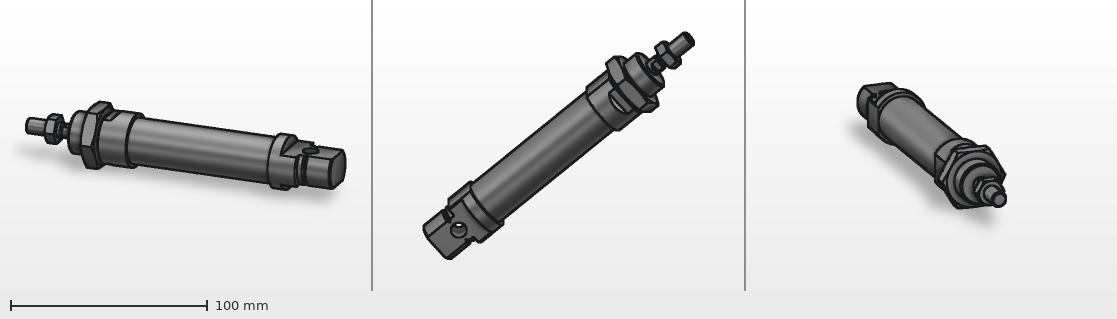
import cadquery as cq
import math

LENGTH = 170.0

ROD_DIA = 8.0
ROD_TIP_CHAMFER = 0.7
ROD_THREAD_END = 18.7
ROD_NECK_DIA = 5.5
ROD_SHANK_START = 20.0
ROD_FLAT_WIDTH = 6.0
ROD_FLAT_END = 23.3

LOCK_NUT_START = 11.5
LOCK_NUT_THICKNESS = 5.3
LOCK_NUT_FLATS = 13.1
LOCK_NUT_BEVEL = 0.7
MOUNTING_NUT_START = 34.8
MOUNTING_NUT_THICKNESS = 7.3
MOUNTING_NUT_FLATS = 30.0
MOUNTING_NUT_BEVEL = 0.8

BARREL_DIA = 24.0
BARREL_START = 59.0
BARREL_END = 137.0
CAP_DIA = 28.0
CAP_FLAT_OFFSET = BARREL_DIA / 2

COLLAR_START = 25.8
COLLAR_DIA = 22.0
COLLAR_CHAMFER = 0.8
FRONT_CAP_START = 43.9
WRENCH_FLAT_WIDTH = 23.8
WRENCH_FLAT_END = 48.0

TONGUE_START = 143.1
TONGUE_THICKNESS = 16.0
TONGUE_DIA = COLLAR_DIA
TONGUE_CHAMFER = 0.76
REAR_SHOULDER_END = 151.8
GROOVE_CENTER = 155.5
GROOVE_DIA = 20.2
GROOVE_FLOOR = 0.5
PIVOT_X = 155.0
PIVOT_DIA = 8.0


def cylinder_x(start, end, diameter):
    """Round bar along the X axis."""
    return cq.Workplane("YZ", origin=(start, 0, 0)).circle(diameter / 2).extrude(end - start)


def turned(profile):
    """Solid of revolution about X from (x, radius) points that start and end on the axis."""
    return cq.Workplane("XY").polyline(profile).close().revolve(360, (0, 0, 0), (1, 0, 0))


def paired_flats(body, start, end, width, body_dia):
    """Mill flats at Z = +-width/2, each running out to the body surface on a 45 degree ramp."""
    flat_z = width / 2
    top_z = body_dia / 2
    ramp_end = end + top_z - flat_z
    outline = [(start, flat_z), (end, flat_z), (ramp_end, top_z), (start, top_z)]
    for side in (1, -1):
        points = [(x, side * z) for x, z in outline]
        cutter = cq.Workplane("XZ").polyline(points).close().extrude(body_dia / 2, both=True)
        body = body.cut(cutter)
    return body


def hex_nut(start, thickness, flats, bore, front_bevel, back_bevel):
    """Hexagonal nut on X with flats at top and bottom; a bevel of 0 leaves that side square."""
    corner_dia = flats / math.cos(math.pi / 6)
    end = start + thickness
    nut = cq.Workplane("YZ", origin=(start, 0, 0)).polygon(6, corner_dia).extrude(thickness)
    corner_r = corner_dia / 2
    face_r = flats / 2
    front_envelope = turned([
        (start, 0), (start, face_r), (start + front_bevel, corner_r), (end, corner_r), (end, 0),
    ])
    nut = nut.intersect(front_envelope)
    if back_bevel > 0:
        back_envelope = turned([
            (start, 0), (start, corner_r), (end - back_bevel, corner_r), (end, face_r), (end, 0),
        ])
        nut = nut.intersect(back_envelope)
    return nut.cut(cylinder_x(start, end, bore))


def make_rod():
    """Rod whose thread tapers into a sharp-bottomed neck, followed by a shank with wrench flats."""
    r = ROD_DIA / 2
    neck_r = ROD_NECK_DIA / 2
    rod = turned([
        (0, 0), (0, r - ROD_TIP_CHAMFER), (ROD_TIP_CHAMFER, r),
        (ROD_THREAD_END, r), (ROD_SHANK_START, neck_r), (ROD_SHANK_START, r),
        (BARREL_START, r), (BARREL_START, 0),
    ])
    return paired_flats(rod, ROD_SHANK_START, ROD_FLAT_END, ROD_FLAT_WIDTH, ROD_DIA)


def cap_disc(start, end):
    """Round cap blank with its +Y side cut flat."""
    keep_depth = CAP_DIA / 2 + CAP_FLAT_OFFSET
    keep = cq.Workplane("XY").box(end - start, keep_depth, CAP_DIA).translate(
        ((start + end) / 2, CAP_FLAT_OFFSET - keep_depth / 2, 0)
    )
    return cylinder_x(start, end, CAP_DIA).intersect(keep)


def make_front_cap():
    """Cap with wrench flats and a threaded collar, bored through for the rod."""
    disc = cap_disc(FRONT_CAP_START, BARREL_START)
    disc = paired_flats(disc, FRONT_CAP_START, WRENCH_FLAT_END, WRENCH_FLAT_WIDTH, CAP_DIA)
    collar = cylinder_x(COLLAR_START, FRONT_CAP_START, COLLAR_DIA)
    collar = collar.faces("<X").chamfer(COLLAR_CHAMFER)
    return disc.union(collar).cut(cylinder_x(COLLAR_START, BARREL_START, ROD_DIA))


def make_barrel():
    """Plain round barrel between the two caps."""
    return cylinder_x(BARREL_START, BARREL_END, BARREL_DIA)


def make_rear_cap():
    """Cap whose end is milled to a flat tongue with a ring groove and a vertical pivot hole."""
    shoulder = cap_disc(BARREL_END, REAR_SHOULDER_END)
    r = TONGUE_DIA / 2
    groove_r = GROOVE_DIA / 2
    floor_half = GROOVE_FLOOR / 2
    mouth_half = floor_half + r - groove_r
    tongue = turned([
        (REAR_SHOULDER_END, 0), (REAR_SHOULDER_END, r),
        (GROOVE_CENTER - mouth_half, r), (GROOVE_CENTER - floor_half, groove_r),
        (GROOVE_CENTER + floor_half, groove_r), (GROOVE_CENTER + mouth_half, r),
        (LENGTH - TONGUE_CHAMFER, r), (LENGTH, r - TONGUE_CHAMFER), (LENGTH, 0),
    ])
    cap = shoulder.union(tongue)
    slab_height = (CAP_DIA - TONGUE_THICKNESS) / 2
    for side in (1, -1):
        slab_z = side * (TONGUE_THICKNESS + slab_height) / 2
        slab = cq.Workplane("XY").box(LENGTH - TONGUE_START, CAP_DIA, slab_height)
        cap = cap.cut(slab.translate(((TONGUE_START + LENGTH) / 2, 0, slab_z)))
    pivot = cq.Workplane("XY").center(PIVOT_X, 0).circle(PIVOT_DIA / 2).extrude(CAP_DIA, both=True)
    return cap.cut(pivot)


rod = make_rod()
lock_nut = hex_nut(
    LOCK_NUT_START, LOCK_NUT_THICKNESS, LOCK_NUT_FLATS, ROD_DIA, LOCK_NUT_BEVEL, 0
)
mounting_nut = hex_nut(
    MOUNTING_NUT_START, MOUNTING_NUT_THICKNESS, MOUNTING_NUT_FLATS, COLLAR_DIA,
    MOUNTING_NUT_BEVEL, MOUNTING_NUT_BEVEL,
)
front_cap = make_front_cap()
barrel = make_barrel()
rear_cap = make_rear_cap()

result = cq.Compound.makeCompound([
    rod.val(), lock_nut.val(), mounting_nut.val(), front_cap.val(), barrel.val(), rear_cap.val(),
])